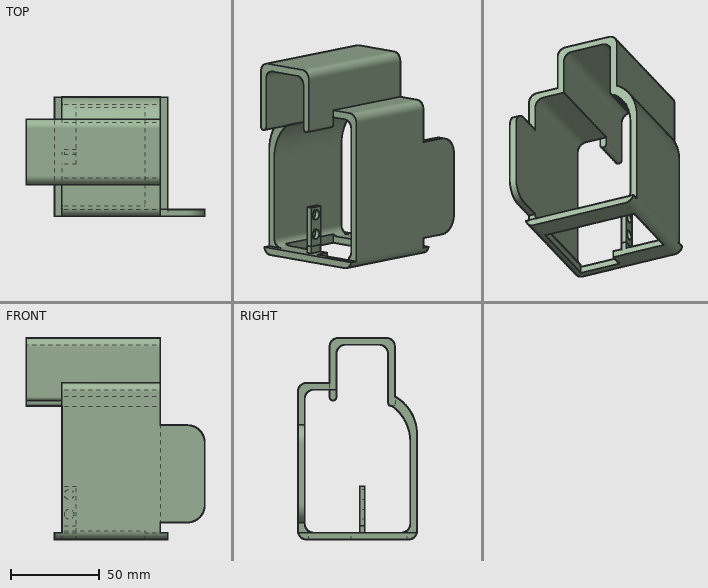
import cadquery as cq
import math

wall = 4.0
corner_radius = 5.0
lip_radius = wall / 2 - 0.01

depth = 67.5
total_height = 114.0
sleeve_start = 20.2
sleeve_end = 75.8
sleeve_length = sleeve_end - sleeve_start
shelf_top = 88.6
shoulder_radius = 25.0
shoulder_center_z = 59.3
shoulder_inner_center_z = 55.3

channel_front = 17.9
channel_rear = 55.0
front_lip_z = 78.5
rear_lip_z = 75.4

plate_overhang = 4.2
window_margin = 5.9
window_end = 66.9
tongue_front = 29.9

tab_end = 101.0
tab_bottom = 9.6
tab_top = 64.8
tab_radius = 10.0

post_width = 8.0
post_thickness = 3.0
post_front = 35.0
post_bottom = 2 * wall
post_top = 30.2
hole_diameter = 5.5
hole_heights = (14.5, 25.6)


def box(x0, x1, y0, y1, z0, z1):
    """Axis-aligned block between two opposite corners."""
    return cq.Workplane("XY").box(x1 - x0, y1 - y0, z1 - z0, centered=False).translate((x0, y0, z0))


def arc_point(center_y, center_z, radius, angle):
    """(Y, Z) point on a circle, with the angle measured from +Y."""
    return (center_y + radius * math.cos(angle), center_z + radius * math.sin(angle))


def shoulder_arc(profile, wall_y, center_z, end_y):
    """Arc that leaves a vertical wall tangentially and leans forward to end_y."""
    center_y = wall_y - shoulder_radius
    end_angle = math.acos((end_y - center_y) / shoulder_radius)
    middle = arc_point(center_y, center_z, shoulder_radius, end_angle / 2)
    end = arc_point(center_y, center_z, shoulder_radius, end_angle)
    return profile.lineTo(wall_y, center_z).threePointArc(middle, end)


def sleeve_block(inset, shoulder_z):
    """Solid filling the sleeve outline moved inward by the inset, with rounded lower and front corners."""
    front = inset
    rear = depth - inset
    top = shelf_top - inset
    shoulder_end = channel_rear - wall / 2
    profile = cq.Workplane("YZ").moveTo(front, inset).lineTo(rear, inset)
    profile = shoulder_arc(profile, rear, shoulder_z, shoulder_end)
    profile = profile.lineTo(shoulder_end, top).lineTo(front, top).close()
    block = profile.extrude(sleeve_length).translate((sleeve_start, 0, 0))
    return block.edges("|X and (<Z or <Y)").fillet(corner_radius)


def make_sleeve():
    """Sleeve walls above the floor plate, left open between the channel legs."""
    sleeve = sleeve_block(0, shoulder_center_z).cut(sleeve_block(wall, shoulder_inner_center_z))
    gap = box(sleeve_start, sleeve_end, channel_front + wall / 2, channel_rear - wall / 2, post_top, total_height)
    floor = box(sleeve_start, sleeve_end, 0, depth, 0, wall)
    return sleeve.cut(gap).cut(floor)


def make_channel():
    """Inverted U running from X = 0 to the far end of the sleeve."""
    outer = box(0, sleeve_end, channel_front, channel_rear, rear_lip_z, total_height)
    outer = outer.edges("|X and >Z").fillet(corner_radius)
    inner = box(0, sleeve_end, channel_front + wall, channel_rear - wall, rear_lip_z, total_height - wall)
    inner = inner.edges("|X and >Z").fillet(corner_radius)
    front_trim = box(0, sleeve_end, channel_front, channel_front + wall, rear_lip_z, front_lip_z)
    channel = outer.cut(inner).cut(front_trim)
    for lip_z in (front_lip_z, rear_lip_z):
        lip_band = cq.selectors.BoxSelector(
            (-1.1, 0, lip_z - lip_radius / 2), (tab_end, depth, lip_z + lip_radius / 2)
        )
        channel = channel.edges("|X").edges(lip_band).fillet(lip_radius)
    shelf_trim = box(
        sleeve_start, sleeve_end, channel_front, channel_front + wall, front_lip_z, shelf_top - wall
    )
    return channel.cut(shelf_trim)


def make_plate():
    """Floor plate, longer than the sleeve at both ends, rounded along its lower long edges."""
    start = sleeve_start - plate_overhang
    end = sleeve_end + plate_overhang
    blank = box(start, end, 0, depth, 0, 2 * corner_radius).edges("|X and <Z").fillet(corner_radius)
    return blank.intersect(box(start, end, 0, depth, 0, wall))


def make_window():
    """Cutter for the floor opening, leaving a tongue under the post."""
    rear = depth - window_margin
    opening = box(sleeve_start, window_end, window_margin, rear, 0, post_bottom)
    tongue = box(sleeve_start, sleeve_start + post_width, tongue_front, rear, 0, post_bottom)
    return opening.cut(tongue)


def make_tab():
    tab = box(sleeve_end - wall, tab_end, 0, wall, tab_bottom, tab_top)
    return tab.edges("|Y and >X").fillet(tab_radius)


def post_block(bottom, top):
    return box(sleeve_start, sleeve_start + post_width, post_front, post_front + post_thickness, bottom, top)


def make_housing():
    housing = make_sleeve().union(make_plate()).cut(make_window())
    return housing.union(make_channel()).union(make_tab()).union(post_block(wall, post_bottom))


def make_post():
    post = post_block(post_bottom, post_top)
    for height in hole_heights:
        hole = cq.Workplane("XZ").circle(hole_diameter / 2).extrude(-post_thickness)
        post = post.cut(hole.translate((sleeve_start + post_width / 2, post_front, height)))
    return post


housing = make_housing()
post = make_post()

result = cq.Compound.makeCompound([housing.val(), post.val()])